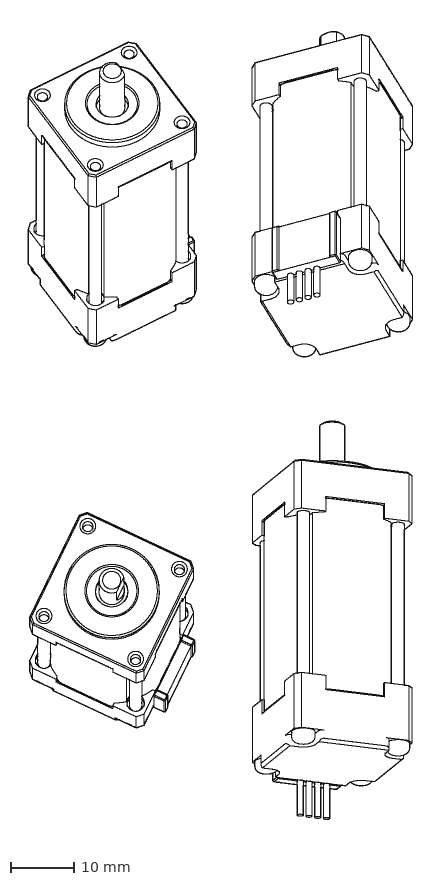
import cadquery as cq

body_side = 20.0
corner_chamfer = 0.95
half_side = body_side / 2

body_bottom = 5.6
rear_notch_floor = 14.4
rear_lug_top = 16.6
front_lug_bottom = 43.9
front_notch_ceiling = 46.15
body_top = 52.1
flange_top = 53.6
shaft_top = 62.1

top_edge_chamfer = 0.25
bottom_edge_chamfer = 0.5
notch_width = 9.95
notch_edge_chamfer = 0.2

stator_radius = 10.75
stator_flat = 9.95
flat_blend = 1.0

screw_offset = 8.0
screw_radius = 1.0
screw_groove_radius = 1.4
screw_clearance_radius = 1.35
screw_clearance_depth = 2.0
head_radius = 1.85
head_height = 1.75
head_dome_radius = 1.0
head_pocket_height = 1.85
head_pocket_gap = 0.2
pocket_mouth_radius = 0.7

mount_hole_radius = 0.8
mount_hole_depth = 3.0
mount_countersink_radius = 1.25

flange_radius = 7.5
flange_chamfer = 0.3
bearing_radius = 4.0
bearing_recess = 0.25
shaft_bore_radius = 2.55
shaft_bore_depth = 1.0

shaft_radius = 2.0
shaft_chamfer_height = 0.4
shaft_chamfer_width = 0.55
shaft_flat_offset = 1.5
shaft_flat_bottom = 55.15

connector_width = 11.0
connector_top = 14.9
connector_depth = 2.0
connector_wall = 1.2
connector_recess = 0.2
connector_chamfer = 0.2

wire_count = 4
wire_radius = 0.5
wire_pitch = 1.5
wire_first_x = -1.5
wire_y = 10.1
wire_embedding = 0.6

screw_points = [(x, y) for x in (-screw_offset, screw_offset) for y in (-screw_offset, screw_offset)]


def block(x_size, y_size, z_low, z_high):
    """Box centred on the motor axis between two heights."""
    return cq.Workplane("XY").workplane(offset=z_low).rect(x_size, y_size).extrude(z_high - z_low)


def cylinder(radius, z_low, z_high):
    """Cylinder on the motor axis between two heights."""
    return cq.Workplane("XY").workplane(offset=z_low).circle(radius).extrude(z_high - z_low)


def corner_cylinders(radius, z_low, z_high):
    """One cylinder on each corner screw axis."""
    plane = cq.Workplane("XY").workplane(offset=z_low)
    return plane.pushPoints(screw_points).circle(radius).extrude(z_high - z_low)


def cap(z_low, z_high):
    """Square end cap with bevelled vertical edges."""
    return block(body_side, body_side, z_low, z_high).edges("|Z").chamfer(corner_chamfer)


def side_notches(z_low, z_high):
    """Crossed slots that open the middle of all four cap sides."""
    along_x = block(2 * body_side, notch_width, z_low, z_high)
    along_y = block(notch_width, 2 * body_side, z_low, z_high)
    return along_x.union(along_y)


def make_stator():
    core = cylinder(stator_radius, rear_notch_floor, front_notch_ceiling)
    flats = block(2 * stator_flat, 2 * stator_flat, rear_notch_floor, front_notch_ceiling)
    core = core.intersect(flats).edges("|Z").fillet(flat_blend)
    return core.cut(corner_cylinders(screw_groove_radius, rear_lug_top, front_lug_bottom))


def notch(body, z_low, z_high, end_height):
    """Open the four cap sides and bevel the outer edge of each notch at its closed end."""
    body = body.cut(side_notches(z_low, z_high))
    side_middles = [(half_side, 0), (-half_side, 0), (0, half_side), (0, -half_side)]
    for x, y in side_middles:
        edge = cq.selectors.NearestToPointSelector((x, y, end_height))
        body = body.edges(edge).chamfer(notch_edge_chamfer)
    return body


def make_front_cap():
    body = cap(front_lug_bottom, body_top).faces(">Z").edges().chamfer(top_edge_chamfer)
    body = notch(body, front_lug_bottom, front_notch_ceiling, front_notch_ceiling)
    holes = corner_cylinders(mount_hole_radius, body_top - mount_hole_depth, body_top)
    sink_depth = mount_countersink_radius - mount_hole_radius
    sink = cq.Solid.makeCone(mount_hole_radius, mount_countersink_radius, sink_depth)
    for x, y in screw_points:
        mouth = cq.Workplane(sink).translate((x, y, body_top - sink_depth))
        holes = holes.union(mouth)
    return body.cut(holes)


def head_pocket(x_side, y_side):
    """Open corner pocket around a screw head, with a flared mouth on both cap sides."""
    wall = screw_offset - head_radius - head_pocket_gap
    inner_radius = head_radius + head_pocket_gap
    flare = pocket_mouth_radius
    pocket = (
        cq.Workplane("XY")
        .workplane(offset=body_bottom)
        .moveTo(half_side, half_side)
        .lineTo(wall - flare, half_side)
        .radiusArc((wall, half_side - flare), flare)
        .lineTo(wall, wall + inner_radius)
        .radiusArc((wall + inner_radius, wall), -inner_radius)
        .lineTo(half_side - flare, wall)
        .radiusArc((half_side, wall - flare), flare)
        .close()
        .extrude(head_pocket_height)
    )
    if x_side < 0:
        pocket = pocket.mirror("YZ")
    if y_side < 0:
        pocket = pocket.mirror("XZ")
    return pocket


def make_rear_cap():
    body = cap(body_bottom, rear_lug_top).faces("<Z").edges().chamfer(bottom_edge_chamfer)
    body = notch(body, rear_notch_floor, rear_lug_top, rear_notch_floor)
    for x_side in (-1, 1):
        for y_side in (-1, 1):
            body = body.cut(head_pocket(x_side, y_side))
    return body


def make_flange():
    flange = cylinder(flange_radius, body_top, flange_top).faces(">Z").edges().chamfer(flange_chamfer)
    recess_floor = flange_top - bearing_recess
    recess_cone = cq.Solid.makeCone(bearing_radius, bearing_radius + bearing_recess, bearing_recess)
    recess = cq.Workplane(recess_cone).translate((0, 0, recess_floor))
    bore = cylinder(shaft_bore_radius, recess_floor - shaft_bore_depth, recess_floor)
    return flange.cut(recess).cut(bore)


def make_shaft():
    tip_start = shaft_top - shaft_chamfer_height
    tip = cq.Solid.makeCone(shaft_radius, shaft_radius - shaft_chamfer_width, shaft_chamfer_height)
    shaft = cylinder(shaft_radius, body_top, tip_start)
    shaft = shaft.union(cq.Workplane(tip).translate((0, 0, tip_start)))
    run_out = 2 * (shaft_radius - shaft_flat_offset)
    flat_cut = (
        cq.Workplane("YZ")
        .moveTo(shaft_flat_offset, shaft_top)
        .lineTo(shaft_flat_offset, shaft_flat_bottom)
        .lineTo(shaft_flat_offset + run_out, shaft_flat_bottom - run_out)
        .lineTo(shaft_flat_offset + run_out, shaft_top)
        .close()
        .extrude(shaft_radius, both=True)
    )
    return shaft.cut(flat_cut)


def make_screws():
    head_top = body_bottom + head_pocket_height
    shanks = corner_cylinders(screw_radius, head_top, front_lug_bottom)
    heads = corner_cylinders(head_radius, head_top - head_height, head_top)
    heads = heads.faces("<Z").edges().fillet(head_dome_radius)
    return shanks.union(heads)


def make_connector():
    wall = block(connector_wall, connector_depth, body_bottom, connector_top)
    wall = wall.faces(">Y or >Z or <Z").edges("not <Y").chamfer(connector_chamfer)
    wall_x = (connector_width - connector_wall) / 2
    middle_depth = connector_depth - connector_recess
    middle = block(2 * wall_x, middle_depth, body_bottom, connector_top - connector_recess)
    connector = middle.translate((0, -connector_recess / 2, 0))
    for side in (-1, 1):
        connector = connector.union(wall.translate((side * wall_x, 0, 0)))
    return connector.translate((0, half_side + connector_depth / 2, 0))


def make_wires():
    centres = [(wire_first_x + i * wire_pitch, wire_y) for i in range(wire_count)]
    return cq.Workplane("XY").pushPoints(centres).circle(wire_radius).extrude(body_bottom + wire_embedding)


clearance = corner_cylinders(screw_clearance_radius, rear_lug_top - screw_clearance_depth, rear_lug_top)

result = make_stator().union(make_rear_cap()).union(make_front_cap())
result = result.cut(clearance)
for piece in (make_flange(), make_shaft(), make_screws(), make_connector(), make_wires()):
    result = result.union(piece)